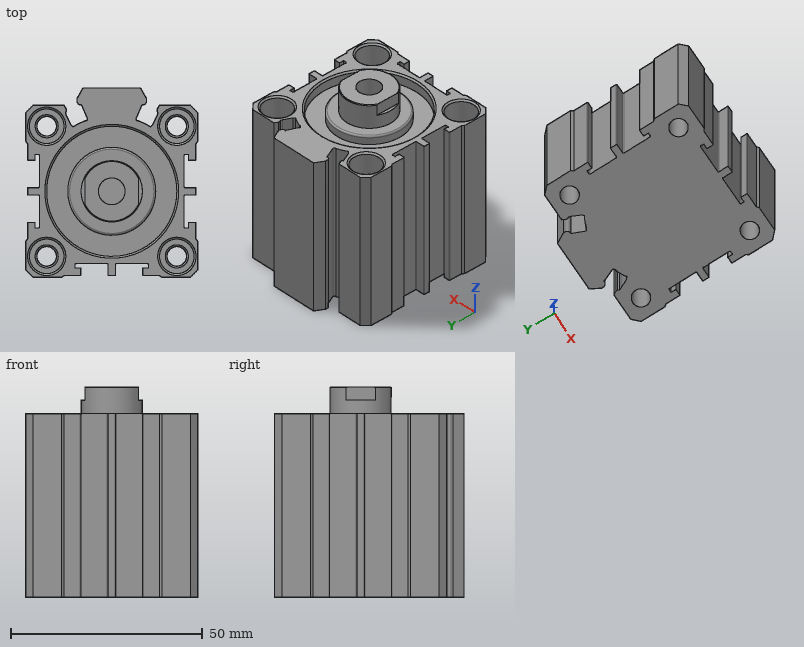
import cadquery as cq
import math

side = 45.0
half_side = side / 2
housing_height = 48.0
corner_chamfer = 2.0

relief_depth = 0.5
relief_half_width = 13.1
relief_slope_run = 0.65
lip_thickness = 2.0
lip_half_gap = 8.1
undercut_half_width = 9.55
channel_depth = 3.6
rib_half_width = 1.0
channel_fillet = 0.2
channel_edge_radius = 0.15
channel_side_angles = (-90, 0, 90)

rail_top = 27.0
rail_top_half_width = 7.55
rail_half_width = 9.15
rail_flank_bottom = 24.15
rail_lip_bottom = 22.55
rail_lip_radius = 1.05
rail_neck_start = 7.9
rail_root = (6.4, 19.0)
rail_root_round = (6.45, 18.65)
rail_root_end_x = 6.95
groove_floor_radius = 19.7
groove_floor_end_x = 10.1
groove_wall_start = (10.6, 17.3)
groove_wall_end = (11.9, 19.9)
groove_notch = (12.05, 20.5)
groove_nib_bottom = (11.8, 20.9)
groove_nib_top = (11.8, 21.4)
groove_mouth_x = 12.45

hole_pitch = 34.0
hole_diameter = 5.05
counterbore_diameter = 9.0
counterbore_depth = 7.0
hole_chamfer = 0.5

recess_diameter = 34.0
recess_depth = 3.25
recess_chamfer = 0.5
boss_diameter = 23.0
boss_top_drop = 0.55
boss_edge_radius = 0.5
boss_top = housing_height - boss_top_drop

overall_height = 55
rod_diameter = 16.0
rod_chamfer = 0.2
flat_width = 14.0
flat_height = 3.45
rod_hole_diameter = 7.0
rod_hole_depth = 6.0


def channel_cutter():
    """Both halves of the T-slot channel on the -Y side, leaving the rib between them."""
    relief = -half_side + relief_depth
    lip_inside = relief + lip_thickness
    floor = -half_side + channel_depth
    half = (
        cq.Workplane("XY")
        .polyline([
            (rib_half_width, floor),
            (undercut_half_width, floor),
            (undercut_half_width, lip_inside),
            (lip_half_gap, lip_inside),
            (lip_half_gap, relief),
            (relief_half_width - relief_slope_run, relief),
            (relief_half_width, -half_side),
            (0, -half_side),
            (0, relief),
            (rib_half_width, relief),
        ])
        .close()
        .extrude(housing_height)
        .edges("|Z and >Y")
        .fillet(channel_fillet)
    )
    for x in (rib_half_width, lip_half_gap):
        outer_edge = cq.selectors.NearestToPointSelector((x, relief, housing_height / 2))
        half = half.edges(outer_edge).fillet(channel_edge_radius)
    return half.union(half.mirror("YZ"))


def on_groove_floor(x):
    """Point at x on the groove floor, an arc concentric with the end recess."""
    return (x, math.sqrt(groove_floor_radius ** 2 - x ** 2))


def groove_cutter():
    """Angled groove between the rail and the +X corner, open towards +Y."""
    lip_arc_start = (rail_half_width, rail_lip_bottom + rail_lip_radius)
    lip_arc_end = (rail_half_width - rail_lip_radius, rail_lip_bottom)
    floor_middle_x = (rail_root_end_x + groove_floor_end_x) / 2
    return (
        cq.Workplane("XY")
        .moveTo(rail_top_half_width, rail_top)
        .lineTo(rail_half_width, rail_flank_bottom)
        .lineTo(*lip_arc_start)
        .tangentArcPoint(lip_arc_end, relative=False)
        .lineTo(rail_neck_start, rail_lip_bottom)
        .lineTo(*rail_root)
        .threePointArc(rail_root_round, on_groove_floor(rail_root_end_x))
        .threePointArc(on_groove_floor(floor_middle_x), on_groove_floor(groove_floor_end_x))
        .lineTo(*groove_wall_start)
        .lineTo(*groove_wall_end)
        .lineTo(*groove_notch)
        .lineTo(*groove_nib_bottom)
        .lineTo(*groove_nib_top)
        .lineTo(groove_mouth_x, half_side)
        .lineTo(groove_mouth_x, rail_top)
        .close()
        .extrude(housing_height)
    )


def rail_blank():
    """Plain block on the +Y side from which the two grooves shape the rail."""
    return (
        cq.Workplane("XY")
        .rect(2 * groove_mouth_x, rail_top, centered=(True, False))
        .extrude(housing_height)
    )


def end_recess_cutter():
    """Chamfered ring-shaped recess around the boss, whose upper edge is rounded."""
    recess_radius = recess_diameter / 2
    boss_radius = boss_diameter / 2
    floor = housing_height - recess_depth
    edge_start = (boss_radius - boss_edge_radius, boss_top)
    edge_end = (boss_radius, boss_top - boss_edge_radius)
    return (
        cq.Workplane("XZ")
        .moveTo(0, boss_top)
        .lineTo(*edge_start)
        .tangentArcPoint(edge_end, relative=False)
        .lineTo(boss_radius, floor)
        .lineTo(recess_radius, floor)
        .lineTo(recess_radius, housing_height - recess_chamfer)
        .lineTo(recess_radius + recess_chamfer, housing_height)
        .lineTo(0, housing_height)
        .close()
        .revolve(360, (0, 0), (0, 1))
    )


def mounting_hole_cutter():
    """Through hole with a counterbore, both chamfered at their upper edges."""
    hole_radius = hole_diameter / 2
    counterbore_radius = counterbore_diameter / 2
    counterbore_floor = housing_height - counterbore_depth
    return (
        cq.Workplane("XZ")
        .polyline([
            (0, 0),
            (hole_radius, 0),
            (hole_radius, counterbore_floor - hole_chamfer),
            (hole_radius + hole_chamfer, counterbore_floor),
            (counterbore_radius, counterbore_floor),
            (counterbore_radius, housing_height - hole_chamfer),
            (counterbore_radius + hole_chamfer, housing_height),
            (0, housing_height),
        ])
        .close()
        .revolve(360, (0, 0), (0, 1))
    )


def make_housing():
    body = (
        cq.Workplane("XY")
        .rect(side, side)
        .extrude(housing_height)
        .edges("|Z")
        .chamfer(corner_chamfer)
        .union(rail_blank())
    )

    groove = groove_cutter()
    body = body.cut(groove).cut(groove.mirror("YZ"))

    channel = channel_cutter()
    for angle in channel_side_angles:
        body = body.cut(channel.rotate((0, 0, 0), (0, 0, 1), angle))

    mounting_hole = mounting_hole_cutter()
    for x in (-hole_pitch / 2, hole_pitch / 2):
        for y in (-hole_pitch / 2, hole_pitch / 2):
            body = body.cut(mounting_hole.translate((x, y, 0)))

    return body.cut(end_recess_cutter())


def make_rod():
    """Piston rod standing on the boss, with two wrench flats and a blind end hole."""
    rod = (
        cq.Workplane("XY", origin=(0, 0, boss_top))
        .circle(rod_diameter / 2)
        .extrude(overall_height - boss_top)
        .faces(">Z")
        .chamfer(rod_chamfer)
    )
    flat_zone = cq.Workplane("XY", origin=(0, 0, overall_height - flat_height))
    rod_outside_flats = (
        flat_zone
        .rect(2 * rod_diameter, 2 * rod_diameter)
        .rect(flat_width, 2 * rod_diameter)
        .extrude(flat_height)
    )
    end_hole = (
        cq.Workplane("XY", origin=(0, 0, overall_height - rod_hole_depth))
        .circle(rod_hole_diameter / 2)
        .extrude(rod_hole_depth)
    )
    return rod.cut(rod_outside_flats).cut(end_hole)


housing = make_housing()
rod = make_rod()

result = cq.Compound.makeCompound([housing.val(), rod.val()])